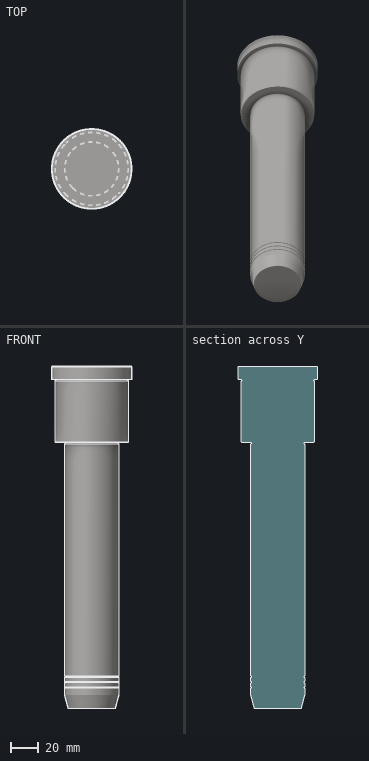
import cadquery as cq
import math

total_length = 251.0
flange_height = 10.0
collar_length = 46.0
nose_length = 10.0

flange_radius = 59.0 / 2
collar_radius = 54.0 / 2
shank_radius = 40.0 / 2
nose_angle = 15.0

edge_chamfer = 0.5
nose_fillet = 0.5

groove_count = 3
groove_pitch = 4.0
groove_width = 1.0
groove_floor_width = 0.6
groove_depth = 0.5
first_groove_offset = 5.0

relief_radius = 0.5

flange_bottom = total_length - flange_height
collar_bottom = flange_bottom - collar_length
nose_tip_radius = shank_radius - nose_length * math.tan(math.radians(nose_angle))


def revolve_about_z(profile):
    """Turn a closed profile, drawn as (radius, height), about the Z axis."""
    return profile.revolve(360, (0, 0, 0), (0, 1, 0))


def turned_body():
    """Tapered nose, shank, collar and flange, with the edge breaks."""
    profile = (
        cq.Workplane("XZ")
        .lineTo(nose_tip_radius, 0)
        .lineTo(shank_radius, nose_length)
        .lineTo(shank_radius, collar_bottom)
        .lineTo(collar_radius - edge_chamfer, collar_bottom)
        .lineTo(collar_radius, collar_bottom + edge_chamfer)
        .lineTo(collar_radius, flange_bottom)
        .lineTo(flange_radius, flange_bottom)
        .lineTo(flange_radius, total_length - edge_chamfer)
        .lineTo(flange_radius - edge_chamfer, total_length)
        .lineTo(0, total_length)
        .close()
    )
    return revolve_about_z(profile).faces("<Z").edges().fillet(nose_fillet)


def shank_groove(bottom):
    """Ring cutter with sloped walls and a flat floor, from bottom upward."""
    floor_radius = shank_radius - groove_depth
    wall_run = (groove_width - groove_floor_width) / 2
    profile = (
        cq.Workplane("XZ")
        .moveTo(shank_radius, bottom)
        .lineTo(floor_radius, bottom + wall_run)
        .lineTo(floor_radius, bottom + groove_width - wall_run)
        .lineTo(shank_radius, bottom + groove_width)
        .close()
    )
    return revolve_about_z(profile)


def shoulder_relief(shoulder, surface_radius):
    """Half-round ring cutter in a cylinder, directly below a shoulder."""
    profile = (
        cq.Workplane("XZ")
        .moveTo(surface_radius, shoulder)
        .threePointArc(
            (surface_radius - relief_radius, shoulder - relief_radius),
            (surface_radius, shoulder - 2 * relief_radius),
        )
        .close()
    )
    return revolve_about_z(profile)


result = turned_body()

for index in range(groove_count):
    groove_bottom = nose_length + first_groove_offset + index * groove_pitch
    result = result.cut(shank_groove(groove_bottom))

result = result.cut(shoulder_relief(flange_bottom, collar_radius))
result = result.cut(shoulder_relief(collar_bottom, shank_radius))